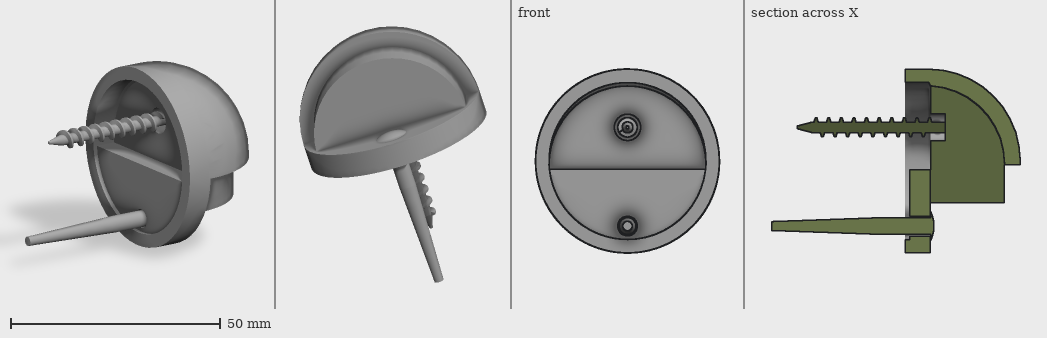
import cadquery as cq


overall_length = 59.5
outer_radius = 44.0 / 2
rim_length = 5.6
plate_front = 6.0
dome_opening_z = -0.95
recess_radius = 18.75
lower_recess_depth = 1.0
shelf_z = -2.0

bumper_radius = 18.75
bumper_center_y = 5.0
bumper_center_z = -0.85
bumper_bottom_z = -10.0

screw_z = 8.05
screw_hole_radius = 3.15
screw_hole_depth = 3.55
core_radius = 1.3
thread_radius = 2.3
thread_length = 28.6
thread_turns = 9.5
thread_pitch = thread_length / thread_turns
thread_start_angle = 30.0
thread_root_width = 1.2
thread_crest_width = 0.5
thread_root_sink = 0.2
point_start_y = -22.25
point_length = 3.55
point_end_radius = 0.35

pin_z = -15.5
pin_radius = 2.0
pin_hole_radius = 2.3
pin_taper_start_y = -6.95
pin_tip_radius = 1.15
pin_tip_y = outer_radius + rim_length - overall_length
pin_head_radius = 3.75
pin_head_height = 0.95

block_size = 4 * outer_radius


def cylinder_along_y(radius, start_y, end_y, center_z=0.0):
    """Cylinder about an axis parallel to Y, from start_y up to end_y."""
    base = cq.Workplane("XZ", origin=(0, start_y, center_z))
    return base.circle(radius).extrude(start_y - end_y)


def block_above(bottom_z):
    return cq.Workplane("XY", origin=(0, 0, bottom_z)).rect(block_size, block_size).extrude(block_size)


def make_bumper_form():
    """Half-round form behind the plate: hemisphere on top of an upright cylinder."""
    center = (0, bumper_center_y, bumper_center_z)
    cap = cq.Workplane("XY", origin=center).sphere(bumper_radius).intersect(block_above(bumper_center_z))
    column_height = bumper_center_z - bumper_bottom_z
    column = cq.Workplane("XY", origin=center).circle(bumper_radius).extrude(-column_height)
    front_half = cylinder_along_y(block_size, plate_front, block_size)
    return cap.union(column).intersect(front_half)


def make_upper_recess():
    """Deep recess above the shelf, sloping inward at its end to meet the bumper."""
    straight = cylinder_along_y(recess_radius, 0, rim_length)
    end_depth = plate_front - rim_length
    sloping = (
        cq.Workplane("XZ", origin=(0, rim_length, 0))
        .circle(recess_radius)
        .workplane(offset=-end_depth)
        .center(0, bumper_center_z)
        .circle(bumper_radius)
        .loft(ruled=True)
    )
    return straight.union(sloping).intersect(block_above(shelf_z))


def make_housing():
    rim = cylinder_along_y(outer_radius, 0, rim_length)
    dome = cq.Workplane("XY", origin=(0, rim_length, 0)).sphere(outer_radius)
    dome = dome.intersect(cylinder_along_y(block_size, rim_length, block_size))
    below_dome = cylinder_along_y(block_size, plate_front, block_size).cut(block_above(dome_opening_z))
    housing = rim.union(dome).cut(below_dome)
    housing = housing.cut(cylinder_along_y(recess_radius, 0, lower_recess_depth))
    housing = housing.cut(make_upper_recess())
    housing = housing.cut(make_bumper_form())
    return housing.cut(cylinder_along_y(pin_hole_radius, 0, plate_front, pin_z))


def make_bumper():
    hole_end = plate_front + screw_hole_depth
    return make_bumper_form().cut(cylinder_along_y(screw_hole_radius, plate_front, hole_end, screw_z))


def make_screw():
    """Right-hand screw, modelled pointing up +Z with the core's end on Z = 0."""
    core_end_y = plate_front + screw_hole_depth
    core_length = core_end_y - point_start_y
    core = (
        cq.Workplane("XZ")
        .moveTo(0, 0)
        .lineTo(core_radius, 0)
        .lineTo(core_radius, core_length)
        .lineTo(point_end_radius, core_length + point_length)
        .lineTo(0, core_length + point_length)
        .close()
        .revolve(360, (0, 0), (0, 1))
    )
    root_radius = core_radius - thread_root_sink
    helix = cq.Wire.makeHelix(thread_pitch, thread_length, core_radius)
    thread = (
        cq.Workplane("XZ")
        .moveTo(root_radius, -thread_root_width / 2)
        .lineTo(thread_radius, -thread_crest_width / 2)
        .lineTo(thread_radius, thread_crest_width / 2)
        .lineTo(root_radius, thread_root_width / 2)
        .close()
        .sweep(cq.Workplane(obj=helix), isFrenet=True)
        .rotate((0, 0, 0), (0, 0, 1), thread_start_angle)
        .translate((0, 0, core_length - thread_length))
    )
    screw = core.union(thread)
    return screw.rotate((0, 0, 0), (1, 0, 0), 90).translate((0, core_end_y, screw_z))


def make_pin():
    """Profile in radius and Y, revolved about the pin's own axis."""
    head_sphere_radius = (pin_head_radius**2 + pin_head_height**2) / (2 * pin_head_height)
    return (
        cq.Workplane("XY", origin=(0, 0, pin_z))
        .moveTo(0, pin_tip_y)
        .lineTo(pin_tip_radius, pin_tip_y)
        .lineTo(pin_radius, pin_taper_start_y)
        .lineTo(pin_radius, plate_front)
        .lineTo(pin_head_radius, plate_front)
        .radiusArc((0, plate_front + pin_head_height), -head_sphere_radius)
        .close()
        .revolve(360, (0, 0), (0, 1))
    )


housing = make_housing()
bumper = make_bumper()
screw = make_screw()
pin = make_pin()

bodies = [housing, bumper, screw, pin]
result = cq.Compound.makeCompound([body.solids().val() for body in bodies])